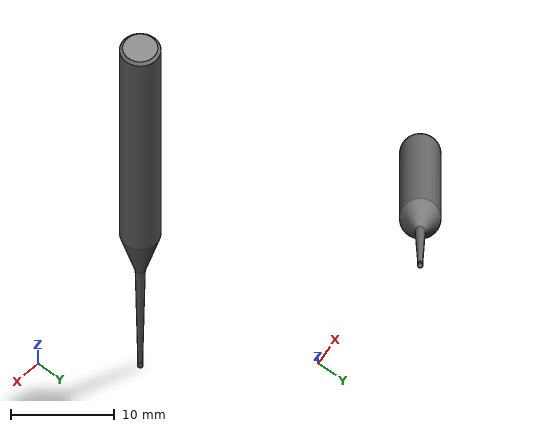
import cadquery as cq
import math

total_length = 50.0
shank_radius = 2.0

cutter_length = 0.75
neck_top = 15.1
collar_top = 15.25
cone_top = 20.85

cutter_radius = 0.25
neck_base_radius = 0.24
neck_taper = 1.0
shank_chamfer = 0.3
collar_flare = 0.025

neck_top_radius = neck_base_radius + (neck_top - cutter_length) * math.tan(math.radians(neck_taper))
collar_radius = neck_top_radius + collar_flare


def revolve_profile(points):
    """Turn a closed (radius, height) half-profile about the Z axis."""
    return cq.Workplane("XZ").polyline(points).close().revolve(360, (0, 0, 0), (0, 1, 0))


def make_cutter():
    """Plain cylindrical cutting tip."""
    return cq.Workplane("XY").circle(cutter_radius).extrude(cutter_length)


def make_holder():
    """Tapered neck, short collar, cone and chamfered shank in one turned body."""
    return revolve_profile([
        (0, cutter_length),
        (neck_base_radius, cutter_length),
        (neck_top_radius, neck_top),
        (collar_radius, collar_top),
        (shank_radius, cone_top),
        (shank_radius, total_length - shank_chamfer),
        (shank_radius - shank_chamfer, total_length),
        (0, total_length),
    ])


cutter = make_cutter()
holder = make_holder()

result = cq.Compound.makeCompound([cutter.val(), holder.val()])